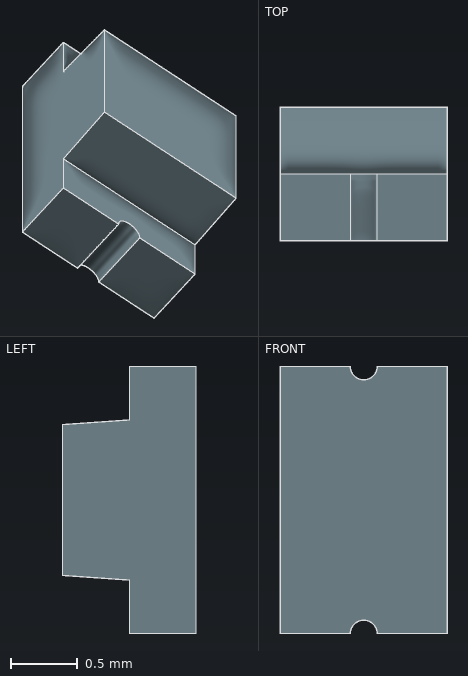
import cadquery as cq
import math

width = 1.25
height = 2.0
base_thickness = 0.5
lens_thickness = 0.5

lens_root_height = 1.2
lens_draft_angle = 4.0

notch_radius = 0.1


def make_base():
    """Rectangular plate with its front face on Y = 0."""
    return cq.Workplane("XY").box(width, base_thickness, height, centered=(True, False, True))


def make_lens():
    """Block behind the base, full width, narrowing in Z away from the base."""
    root_half = lens_root_height / 2
    tip_half = root_half - lens_thickness * math.tan(math.radians(lens_draft_angle))
    root_y = base_thickness
    tip_y = base_thickness + lens_thickness
    profile = [
        (root_y, -root_half),
        (tip_y, -tip_half),
        (tip_y, tip_half),
        (root_y, root_half),
    ]
    return cq.Workplane("YZ").polyline(profile).close().extrude(width / 2, both=True)


def make_notches():
    """Cylinders along Y, centred on the upper and lower edges of the base."""
    edge_centres = [(0, -height / 2), (0, height / 2)]
    return cq.Workplane("XZ").pushPoints(edge_centres).circle(notch_radius).extrude(-base_thickness)


result = make_base().cut(make_notches()).union(make_lens())